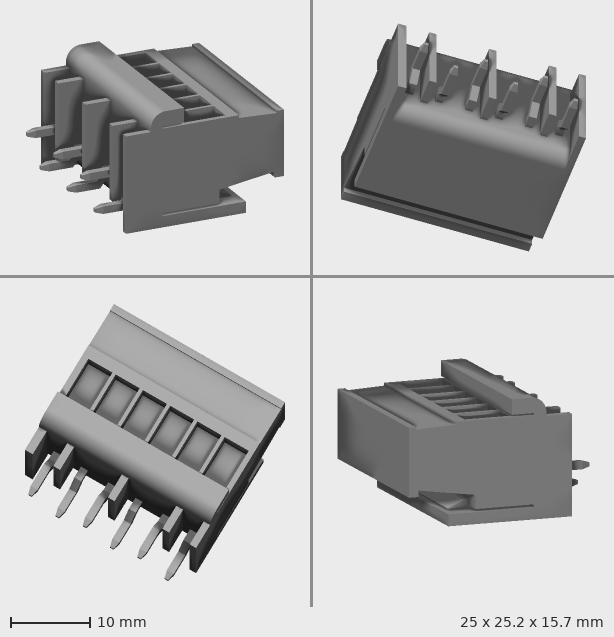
import cadquery as cq
import math

PIN_COUNT = 6
PITCH = 4.0
FIRST_PIN_X = -(PIN_COUNT - 1) * PITCH / 2

LEFT_X = -12.62
RIGHT_X = 12.42
WALL_Y = 3.48
BACK_Y = 22.0
TOP_Z = 15.7
DECK_Z = 13.4

HOOK_RADIUS = 2.0
HOOK_TIP_Y = WALL_Y + 4.62
HOOK_BOTTOM_Z = TOP_Z - HOOK_RADIUS
SLOT_END_Y = 5.12

DECK_BACK_Y = 15.75
SLOPE_FRONT_Z = 13.02
SLOPE_BACK_Z = 12.8
BACK_LIP_Y = 21.05
BACK_LIP_Z = 13.1
FOOT_Y = 20.75
FOOT_Z = 4.1
TAPER_BACK_Z = 4.92
TAPER_FRONT_Z = 3.75
BODY_BACK_Y = 13.02

ARM_THICKNESS = 1.55
ARM_BACK_Y = 16.7
ARM_SLOT = 0.4
BOTTOM_RADIUS = 2.0
RAMP_LENGTH = 2.75
RAMP_FLAT = 0.55
RAMP_HEIGHT = 1.1
RAMP_TIP_HEIGHT = 0.18
RAMP_WIDTH = (PIN_COUNT - 1) * PITCH

POCKET_WIDTH = 3.5
POCKET_BACK_Y = 14.18
POCKET_DEPTH = 2.73

PLATE_INNER_X = 11.48
PLATE_TOP_Z = 13.2
RIB_WIDTH = 0.98
RIB_BOTTOM_Z = 2.95

PIN_SIZE = 1.0
PIN_BASE_Z = 4.42
PIN_JOG = 1.55
JOG_START_Y = 2.1
JOG_END_Y = 0.83
PIN_TIP_Y = -3.23
TIP_LENGTH = 1.0
TIP_SIZE = 0.5


def box(x_range, y_range, z_range):
    """Block between the given limits."""
    (x0, x1), (y0, y1), (z0, z1) = x_range, y_range, z_range
    return cq.Workplane("XY").box(x1 - x0, y1 - y0, z1 - z0, centered=False).translate((x0, y0, z0))


def pin_x(index):
    return FIRST_PIN_X + index * PITCH


def housing_profile():
    """Side outline in the YZ plane, from the foot of the wall over the hook to the arm."""
    arc_offset = HOOK_RADIUS * math.cos(math.pi / 4)
    hook_centre_y = WALL_Y + HOOK_RADIUS
    return (
        cq.Workplane("YZ", origin=(LEFT_X, 0, 0))
        .moveTo(WALL_Y, 0)
        .lineTo(WALL_Y, HOOK_BOTTOM_Z)
        .threePointArc(
            (hook_centre_y - arc_offset, HOOK_BOTTOM_Z + arc_offset),
            (hook_centre_y, TOP_Z),
        )
        .lineTo(HOOK_TIP_Y, TOP_Z)
        .lineTo(HOOK_TIP_Y, HOOK_BOTTOM_Z)
        .lineTo(SLOT_END_Y, HOOK_BOTTOM_Z)
        .lineTo(SLOT_END_Y, DECK_Z)
        .lineTo(DECK_BACK_Y, DECK_Z)
        .lineTo(DECK_BACK_Y, SLOPE_FRONT_Z)
        .lineTo(BACK_LIP_Y, SLOPE_BACK_Z)
        .lineTo(BACK_LIP_Y, BACK_LIP_Z)
        .lineTo(BACK_Y, BACK_LIP_Z)
        .lineTo(BACK_Y, FOOT_Z)
        .lineTo(FOOT_Y, FOOT_Z)
        .lineTo(FOOT_Y, TAPER_BACK_Z)
        .lineTo(BODY_BACK_Y, TAPER_FRONT_Z)
        .lineTo(BODY_BACK_Y, ARM_THICKNESS + ARM_SLOT)
        .lineTo(SLOT_END_Y, ARM_THICKNESS + ARM_SLOT)
        .lineTo(SLOT_END_Y, ARM_THICKNESS)
        .lineTo(ARM_BACK_Y, ARM_THICKNESS)
        .lineTo(ARM_BACK_Y, 0)
        .close()
    )


def bottom_rounding():
    """Cutter that rounds the bottom front edge between the end plates."""
    width = 2 * PLATE_INNER_X
    centre_y = WALL_Y + BOTTOM_RADIUS
    corner = box((-PLATE_INNER_X, PLATE_INNER_X), (WALL_Y, centre_y), (0, BOTTOM_RADIUS))
    round_bar = (
        cq.Workplane("YZ", origin=(-PLATE_INNER_X, centre_y, BOTTOM_RADIUS))
        .circle(BOTTOM_RADIUS)
        .extrude(width)
    )
    return corner.cut(round_bar)


def end_plates():
    """Plates at both ends, in front of the wall."""
    plates = cq.Workplane("XY")
    for x_range in ((LEFT_X, -PLATE_INNER_X), (PLATE_INNER_X, RIGHT_X)):
        plates = plates.add(box(x_range, (0, WALL_Y), (0, PLATE_TOP_Z)))
    return plates.combine()


def ribs():
    """Ribs midway between the two pins of each pair."""
    rib_set = cq.Workplane("XY")
    for first_of_pair in range(0, PIN_COUNT, 2):
        x = pin_x(first_of_pair) + PITCH / 2
        x_range = (x - RIB_WIDTH / 2, x + RIB_WIDTH / 2)
        rib_set = rib_set.add(box(x_range, (0, WALL_Y), (RIB_BOTTOM_Z, PLATE_TOP_Z)))
    return rib_set.combine()


def pockets():
    """Cutters for the pockets, which start below the tip of the hook."""
    cutters = cq.Workplane("XY")
    for index in range(PIN_COUNT):
        x_range = (pin_x(index) - POCKET_WIDTH / 2, pin_x(index) + POCKET_WIDTH / 2)
        cutters = cutters.add(box(x_range, (HOOK_TIP_Y, POCKET_BACK_Y), (DECK_Z - POCKET_DEPTH, DECK_Z)))
    return cutters.combine()


def latch_ramp():
    """Ramp on top of the arm, just behind the body."""
    back_y = BODY_BACK_Y + RAMP_LENGTH
    return (
        cq.Workplane("YZ", origin=(-RAMP_WIDTH / 2, 0, 0))
        .moveTo(BODY_BACK_Y, ARM_THICKNESS)
        .lineTo(back_y, ARM_THICKNESS)
        .lineTo(back_y, ARM_THICKNESS + RAMP_TIP_HEIGHT)
        .lineTo(BODY_BACK_Y + RAMP_FLAT, ARM_THICKNESS + RAMP_HEIGHT)
        .lineTo(BODY_BACK_Y, ARM_THICKNESS + RAMP_HEIGHT)
        .close()
        .extrude(RAMP_WIDTH)
    )


def make_housing():
    body = housing_profile().extrude(RIGHT_X - LEFT_X)
    body = body.cut(bottom_rounding()).cut(pockets())
    return body.union(end_plates()).union(ribs()).union(latch_ramp())


def make_pin(x, direction):
    """Pin standing on the front wall, jogging up (direction 1) or down (direction -1)."""
    half = PIN_SIZE / 2
    bend_angle = math.atan2(PIN_JOG, JOG_START_Y - JOG_END_Y)
    miter = half * math.tan(bend_angle / 2)
    taper_y = PIN_TIP_Y + TIP_LENGTH
    base_z = PIN_BASE_Z
    end_z = base_z + direction * PIN_JOG
    near = direction * half
    shank = (
        cq.Workplane("YZ", origin=(x - half, 0, 0))
        .moveTo(WALL_Y, base_z + near)
        .lineTo(JOG_START_Y + miter, base_z + near)
        .lineTo(JOG_END_Y + miter, end_z + near)
        .lineTo(taper_y, end_z + near)
        .lineTo(taper_y, end_z - near)
        .lineTo(JOG_END_Y - miter, end_z - near)
        .lineTo(JOG_START_Y - miter, base_z - near)
        .lineTo(WALL_Y, base_z - near)
        .close()
        .extrude(PIN_SIZE)
    )
    tip = (
        cq.Workplane("XZ", origin=(x, taper_y, end_z))
        .rect(PIN_SIZE, PIN_SIZE)
        .workplane(offset=TIP_LENGTH)
        .rect(TIP_SIZE, TIP_SIZE)
        .loft(ruled=True)
    )
    return shank.union(tip)


housing = make_housing()

pins = []
for pin_index in range(PIN_COUNT):
    jog_direction = 1 if pin_index % 2 == 0 else -1
    pins.append(make_pin(pin_x(pin_index), jog_direction).val())

result = cq.Compound.makeCompound([housing.val(), *pins])